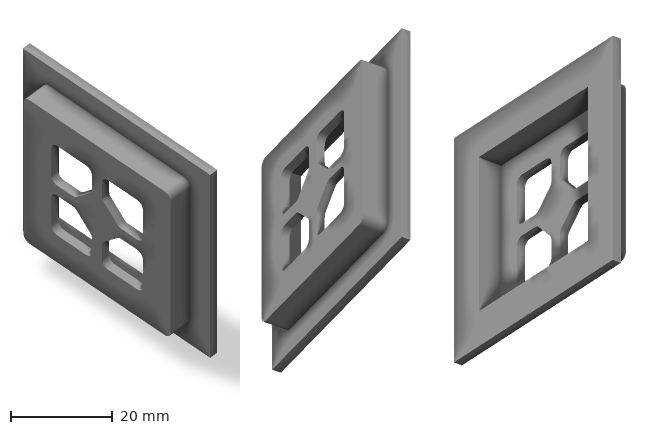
import cadquery as cq

plate_side = 50.8
plate_thickness = 2.0

total_depth = 7.5
boss_side = 39.9
boss_corner_radius = 1.7
boss_wall = 2.5
front_wall = 2.0
cavity_side = boss_side - 2 * boss_wall

window_side = 11.0
bar_width = 2.8
window_chamfer = 4.55
window_corner_radius = 1.7


def square_block(side, front, depth):
    """Square block centred on the Y axis, running from y = front toward +Y."""
    return cq.Workplane("XZ", origin=(0, front, 0)).rect(side, side).extrude(-depth)


def window_cutter():
    """Cutter for the +X +Z window, its inner corner cut off at 45 degrees."""
    inner = bar_width / 2
    outer = inner + window_side
    chamfer_end = inner + window_chamfer
    cutter = (
        cq.Workplane("XZ")
        .moveTo(chamfer_end, inner)
        .lineTo(outer, inner)
        .lineTo(outer, outer)
        .lineTo(inner, outer)
        .lineTo(inner, chamfer_end)
        .close()
        .extrude(-front_wall)
    )
    return cutter.edges("|Y").fillet(window_corner_radius)


boss = square_block(boss_side, 0, total_depth).edges("|Y").fillet(boss_corner_radius)
plate = square_block(plate_side, total_depth - plate_thickness, plate_thickness)
body = boss.union(plate)

body = body.cut(square_block(cavity_side, front_wall, total_depth - front_wall))

window = window_cutter()
for quarter_turn in range(4):
    body = body.cut(window.rotate((0, 0, 0), (0, 1, 0), 90 * quarter_turn))

result = body